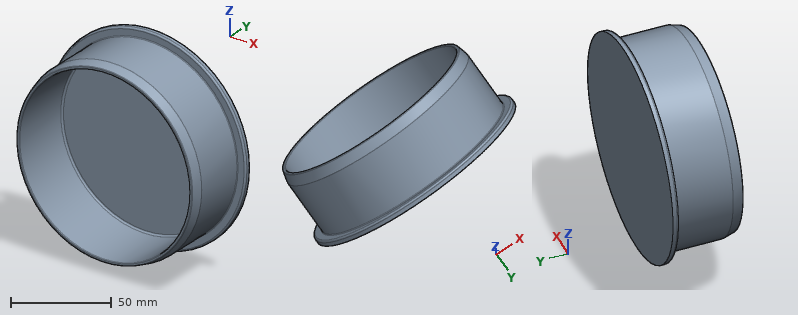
import cadquery as cq

flange_diameter = 120.5
body_diameter = 110.2
bore_diameter = 103.8
total_length = 40.0

wall_thickness = (body_diameter - bore_diameter) / 2

taper_length = 6.0
taper_depth = wall_thickness / 2

flange_edge_radius = 1.0
neck_fillet_radius = 0.4
floor_fillet_radius = 1.0
rim_edge_radius = 0.4

flange_radius = flange_diameter / 2
body_radius = body_diameter / 2
bore_radius = bore_diameter / 2
rim_radius = body_radius - taper_depth

rim_y = -total_length
taper_start_y = rim_y + taper_length
inner_face_y = -wall_thickness


def circular_edge(solid, radius, y):
    """Select the full circular edge of the given radius in the plane at y."""
    margin = 0.05
    low = (-radius - margin, y - margin, -radius - margin)
    high = (radius + margin, y + margin, radius + margin)
    inner = radius - margin
    inner_low = (-inner, y - margin, -inner)
    inner_high = (inner, y + margin, inner)
    outer_box = cq.selectors.BoxSelector(low, high, boundingbox=True)
    inner_box = cq.selectors.BoxSelector(inner_low, inner_high, boundingbox=True)
    return solid.edges(outer_box - inner_box)


def make_cap():
    """Revolve the flanged cup section, with sharp corners, about the Y axis."""
    section = (
        cq.Workplane("XY")
        .moveTo(0, 0)
        .lineTo(flange_radius, 0)
        .lineTo(flange_radius, inner_face_y)
        .lineTo(body_radius, inner_face_y)
        .lineTo(body_radius, taper_start_y)
        .lineTo(rim_radius, rim_y)
        .lineTo(bore_radius, rim_y)
        .lineTo(bore_radius, inner_face_y)
        .lineTo(0, inner_face_y)
        .close()
    )
    return section.revolve(360, (0, 0, 0), (0, 1, 0))


def round_edges(cap):
    """Round the flange edge, the neck, the floor corner and both rim edges."""
    roundings = [
        (flange_radius, inner_face_y, flange_edge_radius),
        (body_radius, inner_face_y, neck_fillet_radius),
        (bore_radius, inner_face_y, floor_fillet_radius),
        (rim_radius, rim_y, rim_edge_radius),
        (bore_radius, rim_y, rim_edge_radius),
    ]
    for edge_radius, edge_y, fillet_radius in roundings:
        cap = circular_edge(cap, edge_radius, edge_y).fillet(fillet_radius)
    return cap


result = round_edges(make_cap())